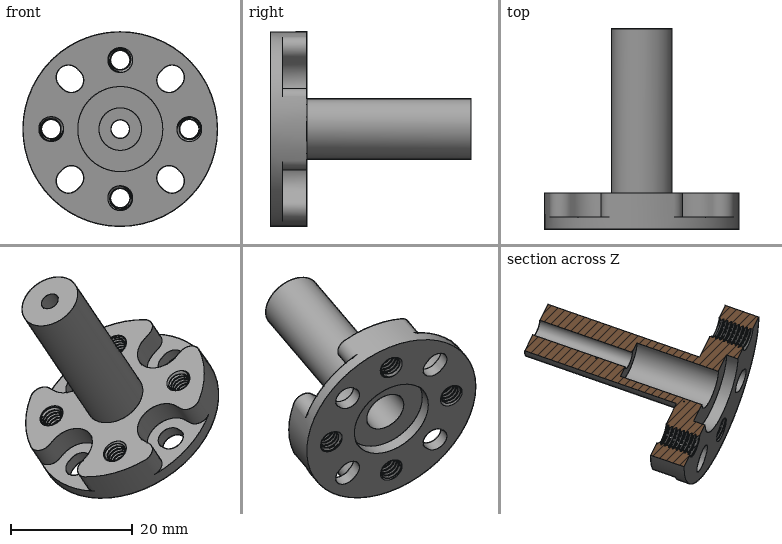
import cadquery as cq
import math

overall_length = 33.0
flange_diameter = 32.0
flange_thickness = 6.0
shaft_diameter = 10.0

recess_diameter = 14.0
recess_depth = 2.0
bore_diameter = 7.0
bore_end = overall_length / 2
axis_hole_diameter = 3.0

bolt_circle_radius = 11.35
hole_count = 4
hole_spacing = 360 / hole_count
thread_major_radius = 2.0
thread_minor_radius = 1.62
thread_pitch = 0.7
thread_root_flat = 1 / 8
thread_crest_flat = 1 / 4
countersink_radius = 2.05

slot_width = 4.0
slot_travel = 0.7
slot_first_angle = hole_spacing / 2

pocket_floor = 2.0
pocket_radius = slot_width
pocket_corner_radius = slot_width / 2


def cylinder(diameter, start, end):
    """Cylinder on the part axis between two Y positions."""
    plane = cq.Workplane("XZ", origin=(0, start, 0))
    return plane.circle(diameter / 2).extrude(start - end)


def turned(shape, angle):
    """Copy of a shape turned about the part axis."""
    return shape.rotate((0, 0, 0), (0, 1, 0), angle)


def slot_cutter():
    """Radial slot along +X, through the flange."""
    return (
        cq.Workplane("XZ")
        .center(bolt_circle_radius + slot_travel / 2, 0)
        .slot2D(slot_width + slot_travel, slot_width)
        .extrude(-flange_thickness)
    )


def pocket_cutter():
    """Pocket opening along +X: round inner end, straight walls and corners rounded into the rim."""
    rim_radius = flange_diameter / 2
    corner_offset = pocket_radius + pocket_corner_radius
    corner_distance = rim_radius - pocket_corner_radius
    corner_x = math.sqrt(corner_distance**2 - corner_offset**2)
    rim_x = corner_x * rim_radius / corner_distance
    rim_z = corner_offset * rim_radius / corner_distance
    corner_angle = (math.atan2(corner_offset, corner_x) - math.pi / 2) / 2
    mid_x = corner_x + pocket_corner_radius * math.cos(corner_angle)
    mid_z = corner_offset + pocket_corner_radius * math.sin(corner_angle)
    outside_x = flange_diameter
    return (
        cq.Workplane("XZ", origin=(0, pocket_floor, 0))
        .moveTo(bolt_circle_radius, pocket_radius)
        .threePointArc((bolt_circle_radius - pocket_radius, 0), (bolt_circle_radius, -pocket_radius))
        .lineTo(corner_x, -pocket_radius)
        .threePointArc((mid_x, -mid_z), (rim_x, -rim_z))
        .lineTo(outside_x, -rim_z)
        .lineTo(outside_x, rim_z)
        .lineTo(rim_x, rim_z)
        .threePointArc((mid_x, mid_z), (corner_x, pocket_radius))
        .close()
        .extrude(pocket_floor - flange_thickness)
    )


def thread_cutter():
    """Tapped hole through the flange: a single-start thread section twisted along Y.

    Cut square to its axis, a thread is an arc at the major radius and one at the minor radius,
    joined by two spiral flanks.
    """
    major_arc_half_angle = math.pi * thread_root_flat
    minor_arc_half_angle = math.pi * thread_crest_flat
    flank_sweep = math.pi - major_arc_half_angle - minor_arc_half_angle

    def flank_point(fraction, side):
        radius = thread_major_radius + (thread_minor_radius - thread_major_radius) * fraction
        angle = side * (major_arc_half_angle + flank_sweep * fraction)
        return (radius * math.cos(angle), radius * math.sin(angle))

    flank_steps = 8
    inward = [i / flank_steps for i in range(1, flank_steps + 1)]
    outward = [1 - fraction for fraction in inward]
    length = flange_thickness + thread_pitch
    return (
        cq.Workplane("XZ", origin=(0, -thread_pitch / 2, 0))
        .center(bolt_circle_radius, 0)
        .moveTo(*flank_point(0, -1))
        .threePointArc((thread_major_radius, 0), flank_point(0, 1))
        .spline([flank_point(fraction, 1) for fraction in inward], includeCurrent=True)
        .threePointArc((-thread_minor_radius, 0), flank_point(1, -1))
        .spline([flank_point(fraction, -1) for fraction in outward], includeCurrent=True)
        .close()
        .twistExtrude(-length, 360 * length / thread_pitch)
    )


def countersink_cutter():
    """45 degree countersinks at both ends of a tapped hole."""
    lower = cq.Solid.makeCone(
        countersink_radius,
        0,
        countersink_radius,
        pnt=cq.Vector(bolt_circle_radius, 0, 0),
        dir=cq.Vector(0, 1, 0),
    )
    upper = lower.mirror("XZ", cq.Vector(0, flange_thickness / 2, 0))
    return cq.Workplane(lower).add(upper).combine()


body = cylinder(flange_diameter, 0, flange_thickness)

slot = slot_cutter()
pocket = pocket_cutter()
for i in range(hole_count):
    angle = slot_first_angle + i * hole_spacing
    body = body.cut(turned(slot, angle))
    body = body.cut(turned(pocket, angle))

body = body.union(cylinder(shaft_diameter, 0, overall_length))

body = body.cut(cylinder(recess_diameter, 0, recess_depth))
body = body.cut(cylinder(bore_diameter, 0, bore_end))
body = body.cut(cylinder(axis_hole_diameter, 0, overall_length))

countersinks = countersink_cutter()
thread = thread_cutter()
for i in range(hole_count):
    angle = i * hole_spacing
    body = body.cut(turned(countersinks, angle))
    body = body.cut(turned(thread, angle))

result = body